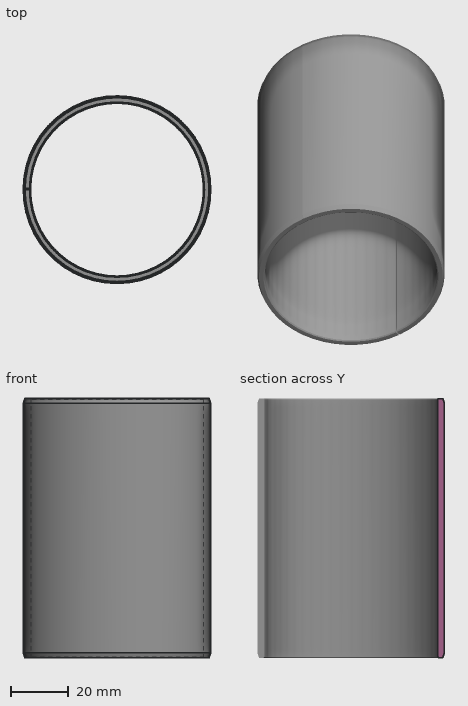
import cadquery as cq

length = 90.0
outer_diameter = 65.0
wall = 2.5
outer_radius = outer_diameter / 2
inner_radius = outer_radius - wall

chamfer_length = 1.8
chamfer_depth = 0.6

bore_chamfer = 0.4

split_width = 0.45


def chamfered_sleeve():
    """Revolve the wall section, with its chamfered ends, about Z."""
    half_length = length / 2
    section = [
        (inner_radius, half_length - bore_chamfer),
        (inner_radius + bore_chamfer, half_length),
        (outer_radius - chamfer_depth, half_length),
        (outer_radius, half_length - chamfer_length),
        (outer_radius, -half_length + chamfer_length),
        (outer_radius - chamfer_depth, -half_length),
        (inner_radius + bore_chamfer, -half_length),
        (inner_radius, -half_length + bore_chamfer),
    ]
    return cq.Workplane("XZ").polyline(section).close().revolve(360, (0, 0), (0, 1))


def split_cutter():
    """Slab through the -X wall, extending from Y = 0 toward +Y."""
    return cq.Workplane("XY").box(
        outer_diameter, split_width, length, centered=(False, False, True)
    ).translate((-outer_diameter, 0, 0))


result = chamfered_sleeve().cut(split_cutter())